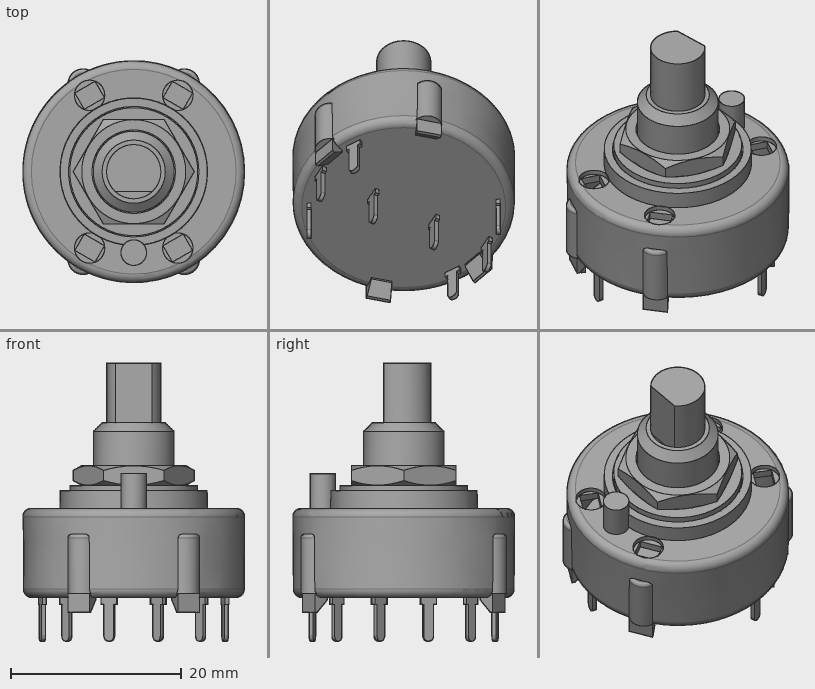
import cadquery as cq
import math


Z_TERMINAL_STEP = 4.35
Z_HOUSING_BOTTOM = 5.12
Z_HOUSING_TOP = 15.58
Z_BOSS_TOP = 17.67
Z_WASHER_TOP = 18.25
Z_NUT_TOP = 20.6
Z_BUSHING_TOP = 25.62
Z_SHAFT_TOP = 32.6

HOUSING_DIAMETER = 26.0
EDGE_RADIUS = 1.0
DRAFT_ANGLE = 0.3
WALL_THICKNESS = EDGE_RADIUS
LID_THICKNESS = 1.5
BASE_THICKNESS = LID_THICKNESS
BOSS_DIAMETER = 17.3
BOSS_DRAFT_ANGLE = 1.0

WASHER_DIAMETER = 15.0
WASHER_SEAT_DIAMETER = 15.3
WASHER_SEAT_DEPTH = 0.33

NUT_ACROSS_FLATS = 12.3
NUT_ACROSS_CORNERS = NUT_ACROSS_FLATS / math.cos(math.radians(30))
NUT_CHAMFER_DIAMETER = 12.2
NUT_CHAMFER_ANGLE = 30
NUT_HOLE_DIAMETER = 9.78

BUSHING_DIAMETER = 9.5
BUSHING_CHAMFER = 1.05
SHAFT_DIAMETER = 6.35
SHAFT_FLAT_OFFSET = 2.35
SHAFT_FLAT_SINK = 0.98

LOCATOR_DIAMETER = 3.0
LOCATOR_OFFSET = 9.5
LOCATOR_TOP = 19.65

CLIP_ANGLES = (60, 120, 240, 300)
RECESS_DIAMETER = 3.55
RECESS_OFFSET = 10.35
RECESS_DEPTH = 0.6
SLOT_LENGTH = 2.75
SLOT_WIDTH = 2.22
RIB_DIAMETER = 3.55
RIB_OFFSET = 11.87
RIB_BOTTOM = 5.6
RIB_TOP = 12.58
RIB_EDGE_RADIUS = 0.45
FOOT_WIDTH = 2.9
FOOT_OUTER_RADIUS = 12.88
FOOT_INNER_RADIUS = 11.05
FOOT_TIP_THICKNESS = 0.35
FOOT_BOTTOM = 3.4
FOOT_RAMP_TOP = 4.85

TERMINAL_ANGLES = (15, 45, 75, 195, 225, 255)
COMMON_TERMINAL_ANGLES = (45, 225)
TERMINAL_CIRCLE_RADIUS = 11.1
COMMON_CIRCLE_RADIUS = 4.05
TERMINAL_WIDTH = 1.2
TERMINAL_SHOULDER_WIDTH = 1.9
TERMINAL_THICKNESS = 0.5

OVERLAP = 0.65


def disc(diameter, bottom, top):
    return cq.Workplane("XY").workplane(offset=bottom).circle(diameter / 2).extrude(top - bottom)


def around_axis(body, angle):
    return body.rotate((0, 0, 0), (0, 0, 1), angle)


def make_housing():
    """Round case, slightly narrower at the bottom, with both rims rounded."""
    height = Z_HOUSING_TOP - Z_HOUSING_BOTTOM
    draft_slope = math.tan(math.radians(DRAFT_ANGLE))
    top_radius = HOUSING_DIAMETER / 2 + EDGE_RADIUS * draft_slope
    bottom_radius = top_radius - height * draft_slope
    profile = [
        (0, Z_HOUSING_BOTTOM),
        (bottom_radius, Z_HOUSING_BOTTOM),
        (top_radius, Z_HOUSING_TOP),
        (0, Z_HOUSING_TOP),
    ]
    case = cq.Workplane("XZ").polyline(profile).close().revolve(360, (0, 0, 0), (0, 1, 0))
    return case.edges("%CIRCLE").fillet(EDGE_RADIUS)


def make_cavity():
    """Space inside the case, between lid and base."""
    cavity_diameter = HOUSING_DIAMETER - 2 * WALL_THICKNESS
    return disc(cavity_diameter, Z_HOUSING_BOTTOM + BASE_THICKNESS, Z_HOUSING_TOP - LID_THICKNESS)


def make_clip_recess():
    """Round recess in the lid with a rectangular slot through its floor, on the +X side."""
    recess_floor = Z_HOUSING_TOP - RECESS_DEPTH
    recess = disc(RECESS_DIAMETER, recess_floor, Z_HOUSING_TOP)
    slot = (
        cq.Workplane("XY")
        .workplane(offset=Z_HOUSING_TOP - LID_THICKNESS)
        .rect(SLOT_WIDTH, SLOT_LENGTH)
        .extrude(LID_THICKNESS - RECESS_DEPTH)
    )
    return recess.union(slot).translate((RECESS_OFFSET, 0, 0))


def make_clip():
    """Round rib on the case wall with a ramped foot below it, on the +X side.

    The side faces of the foot point at the housing axis.
    """
    rib = disc(RIB_DIAMETER, RIB_BOTTOM, RIB_TOP).faces(">Z").edges().fillet(RIB_EDGE_RADIUS)
    rib = rib.translate((RIB_OFFSET, 0, 0))
    foot_top = RIB_BOTTOM + OVERLAP
    foot_profile = [
        (FOOT_OUTER_RADIUS, foot_top),
        (FOOT_OUTER_RADIUS, FOOT_BOTTOM),
        (FOOT_OUTER_RADIUS - FOOT_TIP_THICKNESS, FOOT_BOTTOM),
        (FOOT_INNER_RADIUS, FOOT_RAMP_TOP),
        (FOOT_INNER_RADIUS, foot_top),
    ]
    foot = cq.Workplane("XZ").polyline(foot_profile).close().extrude(FOOT_WIDTH / 2, both=True)
    wedge_outline = [(0, 0), (FOOT_OUTER_RADIUS, -FOOT_WIDTH / 2), (FOOT_OUTER_RADIUS, FOOT_WIDTH / 2)]
    wedge = cq.Workplane("XY").polyline(wedge_outline).close().extrude(foot_top)
    return rib.union(foot.intersect(wedge))


def make_terminal(circle_radius):
    """Flat shouldered blade with a full round tip, on the +X side at the given distance."""
    half_blade = TERMINAL_WIDTH / 2
    half_shoulder = TERMINAL_SHOULDER_WIDTH / 2
    top = Z_HOUSING_BOTTOM + OVERLAP
    blade = (
        cq.Workplane("YZ")
        .moveTo(-half_blade, half_blade)
        .threePointArc((0, 0), (half_blade, half_blade))
        .lineTo(half_blade, Z_TERMINAL_STEP)
        .lineTo(half_shoulder, Z_TERMINAL_STEP)
        .lineTo(half_shoulder, top)
        .lineTo(-half_shoulder, top)
        .lineTo(-half_shoulder, Z_TERMINAL_STEP)
        .lineTo(-half_blade, Z_TERMINAL_STEP)
        .close()
        .extrude(TERMINAL_THICKNESS / 2, both=True)
    )
    return blade.translate((circle_radius, 0, 0))


def make_boss():
    """Raised boss with a washer lying in a slightly wider seat."""
    boss = (
        cq.Workplane("XY")
        .workplane(offset=Z_HOUSING_TOP)
        .circle(BOSS_DIAMETER / 2)
        .extrude(Z_BOSS_TOP - Z_HOUSING_TOP, taper=BOSS_DRAFT_ANGLE)
    )
    seat_floor = Z_BOSS_TOP - WASHER_SEAT_DEPTH
    seat = disc(WASHER_SEAT_DIAMETER, seat_floor, Z_BOSS_TOP)
    washer = disc(WASHER_DIAMETER, seat_floor, Z_WASHER_TOP)
    return boss.cut(seat).union(washer)


def make_nut():
    """Hexagon nut with its corners chamfered at both ends; corners lie on the X axis."""
    height = Z_NUT_TOP - Z_WASHER_TOP
    hexagon = (
        cq.Workplane("XY")
        .workplane(offset=Z_WASHER_TOP)
        .polygon(6, NUT_ACROSS_CORNERS)
        .circle(NUT_HOLE_DIAMETER / 2)
        .extrude(height)
    )
    corner_reach = (NUT_ACROSS_CORNERS - NUT_CHAMFER_DIAMETER) / 2
    corner_drop = corner_reach * math.tan(math.radians(NUT_CHAMFER_ANGLE))
    envelope = disc(NUT_ACROSS_CORNERS, Z_WASHER_TOP, Z_NUT_TOP)
    envelope = envelope.faces(">Z").chamfer(corner_drop, corner_reach)
    envelope = envelope.faces("<Z").chamfer(corner_drop, corner_reach)
    return hexagon.intersect(envelope)


def make_bushing_and_shaft():
    """Chamfered bushing carrying a shaft whose flat faces -Y and sinks below the bushing top."""
    bushing = disc(BUSHING_DIAMETER, Z_BOSS_TOP, Z_BUSHING_TOP).faces(">Z").chamfer(BUSHING_CHAMFER)
    shaft = disc(SHAFT_DIAMETER, Z_BUSHING_TOP, Z_SHAFT_TOP)
    flat_bottom = Z_BUSHING_TOP - SHAFT_FLAT_SINK
    flat_side = cq.Workplane("XY").box(
        SHAFT_DIAMETER, SHAFT_DIAMETER, Z_SHAFT_TOP - flat_bottom, centered=(True, False, False)
    )
    flat_side = flat_side.translate((0, -SHAFT_FLAT_OFFSET - SHAFT_DIAMETER, flat_bottom))
    segment = disc(SHAFT_DIAMETER, flat_bottom, Z_SHAFT_TOP).intersect(flat_side)
    return bushing.union(shaft).cut(segment)


result = make_housing()
for clip_angle in CLIP_ANGLES:
    result = result.union(around_axis(make_clip(), clip_angle))
result = result.cut(make_cavity())
for clip_angle in CLIP_ANGLES:
    result = result.cut(around_axis(make_clip_recess(), clip_angle))

for terminal_angle in TERMINAL_ANGLES:
    result = result.union(around_axis(make_terminal(TERMINAL_CIRCLE_RADIUS), terminal_angle))
for terminal_angle in COMMON_TERMINAL_ANGLES:
    result = result.union(around_axis(make_terminal(COMMON_CIRCLE_RADIUS), terminal_angle))

locator = disc(LOCATOR_DIAMETER, Z_HOUSING_TOP - OVERLAP, LOCATOR_TOP).translate((0, -LOCATOR_OFFSET, 0))
result = result.union(make_boss()).union(locator)
result = result.union(make_nut()).union(make_bushing_and_shaft())